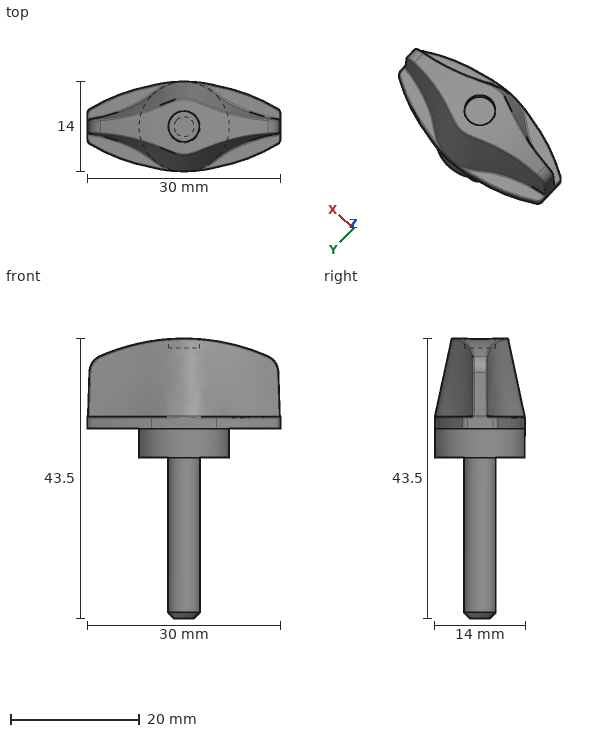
import cadquery as cq

total_height = 43.5
boss_bottom = 24.95
flange_bottom = 29.5
flange_top = 31.35

stud_diameter = 5.0
stud_chamfer = 0.95
boss_diameter = 14.0

flange_length = 30
flange_half_length = flange_length / 2
flange_shoulder = (5.05, 6.35)
flange_side_middle = (9.8, 5.05)
flange_corner = (flange_half_length, 2.5)
flange_corner_radius = 0.85

flank_stations = (3.5, 6.3, 9.15)
hub_base_half_width = boss_diameter / 2
hub_top_half_width = 4.4
flank_base_half_widths = (6.05, 4.1, 2.65)
flank_top_half_widths = (3.3, 2.25, 1.52)
wing_base_half_length = 14.9
wing_top_half_length = 14.55
wing_half_thickness = 1.1

crown_radius = 32.2
wing_corner_radius = 2.83
edge_radius = 0.2

recess_diameter = 4.8
recess_depth = 1.5


def select_box(low_x, high_x, low_z, high_z):
    """Selects whatever is centered in these X and Z ranges, within the boss diameter along Y."""
    half_width = boss_diameter / 2
    return cq.selectors.BoxSelector((low_x, -half_width, low_z), (high_x, half_width, high_z))


def flange_top_edges(low_x, high_x):
    return select_box(low_x, high_x, flange_top - edge_radius, flange_top + edge_radius)


def above_flange():
    return select_box(-flange_half_length, flange_half_length, flange_top + edge_radius, total_height)


def make_stud():
    stud = cq.Workplane("XY").circle(stud_diameter / 2).extrude(boss_bottom)
    return stud.faces("<Z").chamfer(stud_chamfer)


def make_boss():
    boss = cq.Workplane("XY").workplane(offset=boss_bottom)
    return boss.circle(boss_diameter / 2).extrude(flange_bottom - boss_bottom)


def flange_block(height):
    """Upright block with the flange outline, standing on the flange underside."""
    shoulder_x, shoulder_y = flange_shoulder
    middle_x, middle_y = flange_side_middle
    corner_x, corner_y = flange_corner
    half_width = boss_diameter / 2
    outline = (
        cq.Workplane("XY")
        .workplane(offset=flange_bottom)
        .moveTo(-corner_x, corner_y)
        .threePointArc((-middle_x, middle_y), (-shoulder_x, shoulder_y))
        .threePointArc((0, half_width), (shoulder_x, shoulder_y))
        .threePointArc((middle_x, middle_y), (corner_x, corner_y))
        .lineTo(corner_x, -corner_y)
        .threePointArc((middle_x, -middle_y), (shoulder_x, -shoulder_y))
        .threePointArc((0, -half_width), (-shoulder_x, -shoulder_y))
        .threePointArc((-middle_x, -middle_y), (-corner_x, -corner_y))
        .close()
    )
    block = outline.extrude(height)
    return block.faces("<X or >X").edges("|Z").fillet(flange_corner_radius)


def grip_profile(height, hub_half_width, flank_half_widths, half_length):
    """Closed wire of the grip, symmetric about X and Y."""
    right = list(zip(flank_stations, flank_half_widths)) + [(half_length, wing_half_thickness)]
    left = [(-x, y) for x, y in reversed(right)]
    rear = left + [(0, hub_half_width)] + right
    front = [(-x, -y) for x, y in rear]
    profile = cq.Workplane("XY").workplane(offset=height)
    profile = profile.spline(rear).lineTo(*front[0])
    return profile.spline(front[1:], includeCurrent=True).close().val()


def make_grip():
    base = grip_profile(flange_top, hub_base_half_width, flank_base_half_widths, wing_base_half_length)
    top = grip_profile(total_height, hub_top_half_width, flank_top_half_widths, wing_top_half_length)
    grip = cq.Workplane("XY").add(cq.Solid.makeLoft([base, top], True))

    crown = (
        cq.Workplane("XZ")
        .center(0, total_height - crown_radius)
        .circle(crown_radius)
        .extrude(boss_diameter, both=True)
    )
    grip = grip.intersect(crown)

    upper_corners = grip.edges("|Y").edges(above_flange())
    return upper_corners.fillet(wing_corner_radius)


def make_head():
    """Flange and grip in one piece, with rounded edges on the grip, its foot and the flange top."""
    oversize_plate = (
        cq.Workplane("XY")
        .workplane(offset=flange_bottom)
        .rect(2 * flange_length, 2 * boss_diameter)
        .extrude(flange_top - flange_bottom)
    )
    head = oversize_plate.union(make_grip())

    foot = head.edges(flange_top_edges(-flange_half_length, flange_half_length))
    rim = head.edges(above_flange()).edges("not(|Y)")
    head = foot.add(rim.vals()).fillet(edge_radius)

    head = head.intersect(flange_block(total_height - flange_bottom))
    shoulder_x = flange_shoulder[0]
    left = head.edges(flange_top_edges(-flange_half_length, -shoulder_x)).edges("%CIRCLE")
    right = head.edges(flange_top_edges(shoulder_x, flange_half_length)).edges("%CIRCLE")
    return left.add(right.vals()).fillet(edge_radius)


def make_recess():
    recess = cq.Workplane("XY").workplane(offset=total_height - recess_depth)
    return recess.circle(recess_diameter / 2).extrude(recess_depth)


knob = make_stud().union(make_boss()).union(make_head()).cut(make_recess())
result = knob.solids()